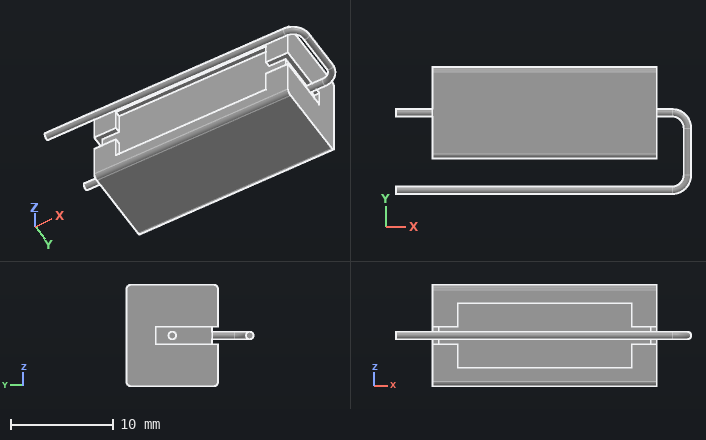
import cadquery as cq

body_length = 22.0
body_depth = 9.0
body_height = 10.0
edge_radius = 0.5

sink = 0.6
window_length = 17.02
window_height = 6.37
slot_height = 1.68
end_slot_reach = 6.15

wire_diameter = 0.75
bend_radius = 1.5
overall_length = 28.95
overall_depth = 12.48
lead_stub = 3.6

body_left = -body_length / 2
body_front = -body_depth / 2
lead_spacing = overall_depth - body_depth / 2 - wire_diameter / 2
wire_left = body_left - lead_stub
return_x = wire_left + overall_length - wire_diameter / 2
bend_start_x = return_x - bend_radius


def make_body():
    """Block with its four long edges rounded."""
    block = cq.Workplane("XY").box(body_length, body_depth, body_height)
    return block.edges("|X").fillet(edge_radius)


def front_recess():
    """Window in the front face, joined to both ends by a narrow slot."""
    center_y = body_front + sink / 2
    window = cq.Workplane("XY").box(window_length, sink, window_height)
    slot = cq.Workplane("XY").box(body_length, sink, slot_height)
    return window.union(slot).translate((0, center_y, 0))


def end_slot(side):
    """Slot sunk into one end (side is -1 or 1), open at the front face."""
    slot = cq.Workplane("XY").box(sink, end_slot_reach, slot_height)
    center_x = side * (body_length - sink) / 2
    return slot.translate((center_x, body_front + end_slot_reach / 2, 0))


def make_wire():
    """Round wire along the block axis, bent back through two quarter turns."""
    path = (
        cq.Workplane("XY")
        .moveTo(wire_left, 0)
        .lineTo(bend_start_x, 0)
        .tangentArcPoint((return_x, -bend_radius), relative=False)
        .lineTo(return_x, bend_radius - lead_spacing)
        .tangentArcPoint((bend_start_x, -lead_spacing), relative=False)
        .lineTo(wire_left, -lead_spacing)
    )
    section = cq.Workplane("YZ", origin=(wire_left, 0, 0)).circle(wire_diameter / 2)
    return section.sweep(path)


body = make_body().cut(front_recess())
for side in (-1, 1):
    body = body.cut(end_slot(side))

result = body.union(make_wire())